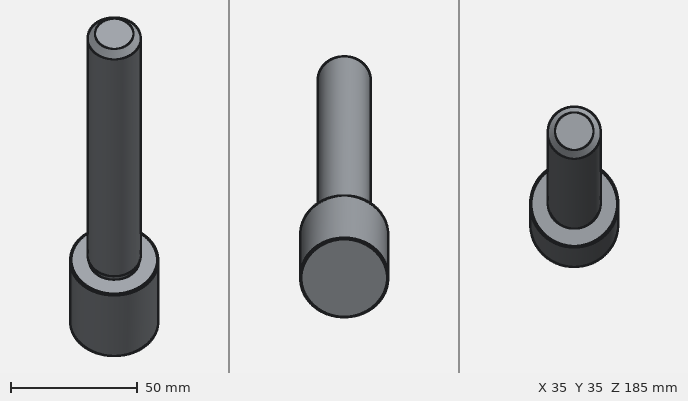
import cadquery as cq

total_length = 185.0
head_diameter = 35.0
head_height = 40.0
shaft_diameter = 21.0

head_chamfer = 0.5
tip_chamfer = 3.0
neck_diameter = 20.0
neck_height = 3.0

head_radius = head_diameter / 2
shaft_radius = shaft_diameter / 2
neck_radius = neck_diameter / 2
neck_top = head_height + neck_height


def make_head():
    """Plain cylinder with both rims chamfered."""
    head = cq.Workplane("XY").circle(head_radius).extrude(head_height)
    return head.edges("%CIRCLE").chamfer(head_chamfer)


def make_shaft():
    """Revolved shaft with a relief neck above the head and a chamfered tip."""
    profile = (
        cq.Workplane("XZ")
        .moveTo(0, 0)
        .lineTo(neck_radius, 0)
        .lineTo(neck_radius, neck_top)
        .lineTo(shaft_radius, neck_top)
        .lineTo(shaft_radius, total_length - tip_chamfer)
        .lineTo(shaft_radius - tip_chamfer, total_length)
        .lineTo(0, total_length)
        .close()
    )
    return profile.revolve(360, (0, 0, 0), (0, 1, 0))


result = make_head().union(make_shaft())